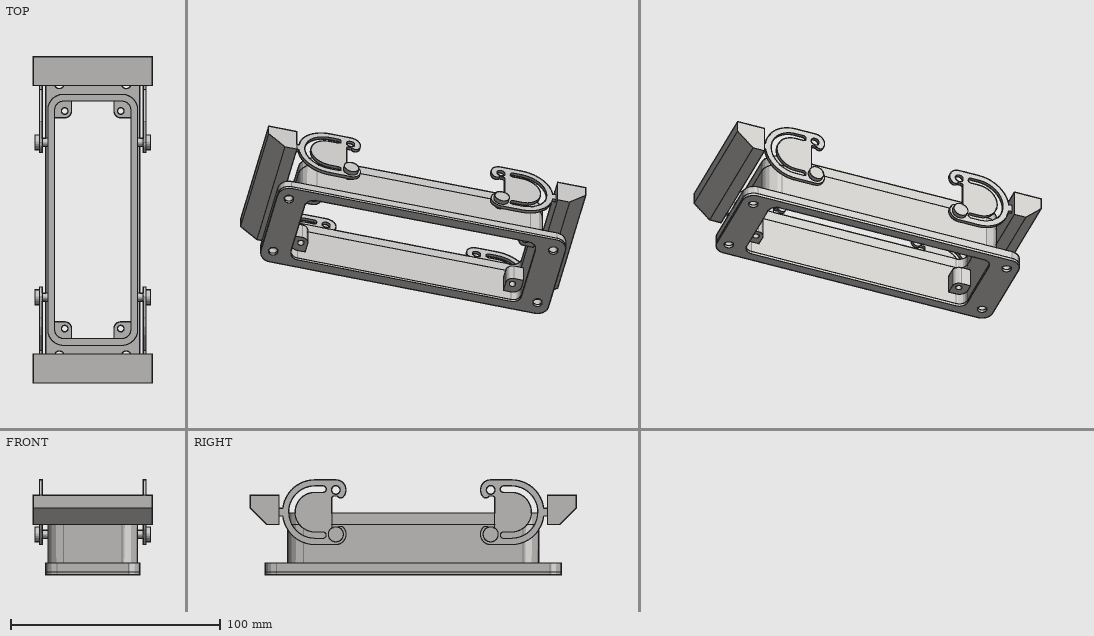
import cadquery as cq
import math


SEAL_THICKNESS = 1.5
FLANGE_TOP = 5.7
WALL_TOP = 24.0
RIM_TOP = 29.6

FLANGE_WIDTH = 45.0
FLANGE_LENGTH = 141.5
FLANGE_CORNER = 5.5
MOUNT_HOLE_DIA = 4.5
MOUNT_HOLE_X = 16.0
MOUNT_HOLE_Y = 65.0

WALL_WIDTH = 43.0
WALL_LENGTH = 120.0
WALL_CORNER = 7.5
WALL_THICKNESS = 3.3
OPENING_WIDTH = WALL_WIDTH - 2 * WALL_THICKNESS
OPENING_LENGTH = WALL_LENGTH - 2 * WALL_THICKNESS
OPENING_CORNER = WALL_CORNER - WALL_THICKNESS

BOSS_HOLE_X = 13.4
BOSS_HOLE_Y = 52.0
BOSS_HOLE_DIA = 3.0
BOSS_RADIUS = 3.3
BOSS_BOTTOM = 7.5
BOSS_TOP = 17.5

PIN_Y = 37.0
PIN_DIA = 4.0
PIN_HEAD_DIA = 7.2
PIN_HEAD_THICKNESS = 2.1

PLATE_INNER_X = 24.05
PLATE_THICKNESS = 1.5
PLATE_OUTER_X = PLATE_INNER_X + PLATE_THICKNESS
PLATE_REACH = 10.0
PLATE_CENTER_Y = PIN_Y + PLATE_REACH
PLATE_CENTER_Z = 30.0
PLATE_RADIUS = 15.5
PLATE_INNER_EDGE_Y = 38.85
NOSE_RADIUS = 4.9
LATCH_HOLE_DIA = PIN_DIA
PIN_OFFSET_Z = PLATE_RADIUS - NOSE_RADIUS
PIN_Z = PLATE_CENTER_Z - PIN_OFFSET_Z
LOBE_RADIUS = 1.9
LOBE_ANGLE = math.radians(40)
NOTCH_OFFSET = 2.95
NOTCH_FILLET = 0.8
SLOT_INNER_RADIUS = 9.5
SLOT_OUTER_RADIUS = 12.5
SLOT_END_Y = 43.1

HANDLE_WIDTH = 57.0
HANDLE_OUTER_Y = 78.0
HANDLE_DEPTH = 13.9
HANDLE_INNER_Y = HANDLE_OUTER_Y - HANDLE_DEPTH
HANDLE_BOTTOM = 24.0
HANDLE_TOP = 38.1
HANDLE_CHAMFER = 8.0
NECK_WIDTH = 3.9

SIDES = (-1, 1)


def rounded_block(width, length, corner, bottom, top):
    """Upright block with rounded vertical edges, centred on the Z axis."""
    block = cq.Workplane("XY").workplane(offset=bottom).rect(width, length).extrude(top - bottom)
    return block.edges("|Z").fillet(corner)


def upright_cylinder(x, y, diameter, bottom, top):
    base = cq.Workplane("XY").workplane(offset=bottom).center(x, y)
    return base.circle(diameter / 2).extrude(top - bottom)


def opening(bottom, top):
    """Clear space inside the wall."""
    return rounded_block(OPENING_WIDTH, OPENING_LENGTH, OPENING_CORNER, bottom, top)


def cut_mount_holes(body):
    for x_side in SIDES:
        for y_side in SIDES:
            x = x_side * MOUNT_HOLE_X
            y = y_side * MOUNT_HOLE_Y
            hole = upright_cylinder(x, y, MOUNT_HOLE_DIA, 0, FLANGE_TOP)
            body = body.cut(hole)
    return body


def make_flange_seal():
    seal = rounded_block(FLANGE_WIDTH, FLANGE_LENGTH, FLANGE_CORNER, 0, SEAL_THICKNESS)
    seal = seal.cut(opening(0, SEAL_THICKNESS))
    return cut_mount_holes(seal)


def make_rim_seal():
    seal = rounded_block(WALL_WIDTH, WALL_LENGTH, WALL_CORNER, WALL_TOP, RIM_TOP)
    return seal.cut(opening(WALL_TOP, RIM_TOP))


def make_screw_boss(x_side, y_side):
    """Boss filling one inner corner, rounded around its screw hole."""
    inner_x = BOSS_HOLE_X - BOSS_RADIUS
    inner_y = BOSS_HOLE_Y - BOSS_RADIUS
    outer_x = OPENING_WIDTH / 2 + WALL_THICKNESS / 2
    outer_y = OPENING_LENGTH / 2 + WALL_THICKNESS / 2
    boss = (
        cq.Workplane("XY")
        .workplane(offset=BOSS_BOTTOM)
        .center(x_side * (inner_x + outer_x) / 2, y_side * (inner_y + outer_y) / 2)
        .rect(outer_x - inner_x, outer_y - inner_y)
        .extrude(BOSS_TOP - BOSS_BOTTOM)
    )
    x_end = "<X" if x_side > 0 else ">X"
    y_end = "<Y" if y_side > 0 else ">Y"
    boss = boss.faces(x_end).edges(y_end).fillet(BOSS_RADIUS)
    wall_block = rounded_block(WALL_WIDTH, WALL_LENGTH, WALL_CORNER, BOSS_BOTTOM, BOSS_TOP)
    hole_x = x_side * BOSS_HOLE_X
    hole_y = y_side * BOSS_HOLE_Y
    hole = upright_cylinder(hole_x, hole_y, BOSS_HOLE_DIA, BOSS_BOTTOM, BOSS_TOP)
    return boss.intersect(wall_block).cut(hole)


def make_shell():
    flange = rounded_block(FLANGE_WIDTH, FLANGE_LENGTH, FLANGE_CORNER, SEAL_THICKNESS, FLANGE_TOP)
    wall = rounded_block(WALL_WIDTH, WALL_LENGTH, WALL_CORNER, SEAL_THICKNESS, WALL_TOP)
    shell = cut_mount_holes(flange.union(wall)).cut(opening(SEAL_THICKNESS, WALL_TOP))
    for x_side in SIDES:
        for y_side in SIDES:
            shell = shell.union(make_screw_boss(x_side, y_side))
    return shell


def plate_sketch():
    """Workplane in (Y, Z) on the inner face of the +X side plate."""
    return cq.Workplane("YZ").workplane(offset=PLATE_INNER_X)


def make_half_plate():
    """Upper half of a side plate, with its hooked nose."""
    hole_y = PIN_Y
    hole_z = PLATE_CENTER_Z + PIN_OFFSET_Z
    notch_z = hole_z - NOTCH_OFFSET
    top_z = PLATE_CENTER_Z + PLATE_RADIUS

    def nose_point(angle):
        return hole_y - NOSE_RADIUS * math.cos(angle), hole_z - NOSE_RADIUS * math.sin(angle)

    lobe_y = hole_y - (NOSE_RADIUS - LOBE_RADIUS) * math.cos(LOBE_ANGLE)
    lobe_z = hole_z - (NOSE_RADIUS - LOBE_RADIUS) * math.sin(LOBE_ANGLE)
    lobe_end_y = lobe_y + math.sqrt(LOBE_RADIUS**2 - (lobe_z - notch_z) ** 2)
    fillet_shift = NOTCH_FILLET * (1 - math.sqrt(0.5))
    plate_diagonal = PLATE_RADIUS * math.sqrt(0.5)
    outline = (
        plate_sketch()
        .moveTo(PLATE_INNER_EDGE_Y, PLATE_CENTER_Z)
        .lineTo(PLATE_CENTER_Y + PLATE_RADIUS, PLATE_CENTER_Z)
        .threePointArc(
            (PLATE_CENTER_Y + plate_diagonal, PLATE_CENTER_Z + plate_diagonal),
            (PLATE_CENTER_Y, top_z),
        )
        .lineTo(hole_y, top_z)
        .threePointArc(nose_point(0), nose_point(LOBE_ANGLE))
        .threePointArc((lobe_y, lobe_z - LOBE_RADIUS), (lobe_end_y, notch_z))
        .lineTo(PLATE_INNER_EDGE_Y - NOTCH_FILLET, notch_z)
        .threePointArc(
            (PLATE_INNER_EDGE_Y - fillet_shift, notch_z - fillet_shift),
            (PLATE_INNER_EDGE_Y, notch_z - NOTCH_FILLET),
        )
        .close()
    )
    half = outline.extrude(PLATE_THICKNESS)
    latch_hole = plate_sketch().center(hole_y, hole_z).circle(LATCH_HOLE_DIA / 2).extrude(PLATE_THICKNESS)
    return half.cut(latch_hole)


def make_c_slot():
    """C-shaped slot that runs concentric with the plate's round end."""
    inner = SLOT_INNER_RADIUS
    outer = SLOT_OUTER_RADIUS
    middle = (inner + outer) / 2
    end_radius = (outer - inner) / 2
    end_y = SLOT_END_Y - PLATE_CENTER_Y
    slot = (
        plate_sketch()
        .center(PLATE_CENTER_Y, PLATE_CENTER_Z)
        .moveTo(0, outer)
        .threePointArc((outer, 0), (0, -outer))
        .lineTo(end_y, -outer)
        .threePointArc((end_y - end_radius, -middle), (end_y, -inner))
        .lineTo(0, -inner)
        .threePointArc((inner, 0), (0, inner))
        .lineTo(end_y, inner)
        .threePointArc((end_y - end_radius, middle), (end_y, outer))
        .close()
    )
    return slot.extrude(PLATE_THICKNESS)


def make_side_plate():
    """+X side plate with its neck to the handle and its pivot pin."""
    half = make_half_plate()
    plate = half.union(half.mirror("XY", (0, 0, PLATE_CENTER_Z))).cut(make_c_slot())

    neck_start_y = PLATE_CENTER_Y + (SLOT_OUTER_RADIUS + PLATE_RADIUS) / 2
    neck = (
        plate_sketch()
        .center((neck_start_y + HANDLE_INNER_Y) / 2, PLATE_CENTER_Z)
        .rect(HANDLE_INNER_Y - neck_start_y, NECK_WIDTH)
        .extrude(PLATE_THICKNESS)
    )

    wall_middle_x = (WALL_WIDTH - WALL_THICKNESS) / 2
    shank = (
        cq.Workplane("YZ")
        .workplane(offset=wall_middle_x)
        .center(PIN_Y, PIN_Z)
        .circle(PIN_DIA / 2)
        .extrude(PLATE_OUTER_X - wall_middle_x)
    )
    head = (
        cq.Workplane("YZ")
        .workplane(offset=PLATE_OUTER_X)
        .center(PIN_Y, PIN_Z)
        .circle(PIN_HEAD_DIA / 2)
        .extrude(PIN_HEAD_THICKNESS)
    )
    return plate.union(neck).union(shank).union(head)


def make_handle():
    """Full-width bar, chamfered along its lower outer edge."""
    return (
        cq.Workplane("YZ")
        .workplane(offset=-HANDLE_WIDTH / 2)
        .moveTo(HANDLE_INNER_Y, HANDLE_BOTTOM)
        .lineTo(HANDLE_OUTER_Y - HANDLE_CHAMFER, HANDLE_BOTTOM)
        .lineTo(HANDLE_OUTER_Y, HANDLE_BOTTOM + HANDLE_CHAMFER)
        .lineTo(HANDLE_OUTER_Y, HANDLE_TOP)
        .lineTo(HANDLE_INNER_Y, HANDLE_TOP)
        .close()
        .extrude(HANDLE_WIDTH)
    )


def make_lever():
    plate = make_side_plate()
    return make_handle().union(plate).union(plate.mirror("YZ"))


def make_housing():
    lever = make_lever()
    return make_shell().union(lever).union(lever.mirror("XZ"))


housing = make_housing()
flange_seal = make_flange_seal()
rim_seal = make_rim_seal()

result = cq.Compound.makeCompound([housing.solids().val(), flange_seal.val(), rim_seal.val()])